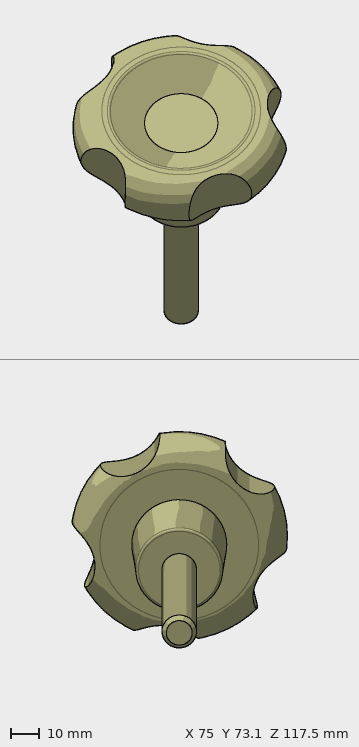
import cadquery as cq
import math

total_height = 117.5
head_height = 20.0
hub_height = 28.0
head_bottom = total_height - head_height
hub_bottom = head_bottom - hub_height

head_radius = 37.5
rim_radius = head_height / 2
flat_radius = head_radius - rim_radius

dish_radius = 25.0
floor_radius = 12.7
dish_slope = 30.0
dish_depth = (dish_radius - floor_radius) * math.tan(math.radians(dish_slope))
dish_edge_radius = 2.0

hub_top_radius = 16.5
hub_bottom_radius = 15.0
hub_edge_radius = 0.9

stem_radius = 12.0 / 2
tip_chamfer = 1.5

scallop_count = 5
scallop_radius = 15.0
scallop_inner_reach = 30.0
first_scallop_angle = -90.0


def make_head():
    head = (
        cq.Workplane("XZ")
        .moveTo(0, head_bottom)
        .lineTo(flat_radius, head_bottom)
        .threePointArc((head_radius, head_bottom + rim_radius), (flat_radius, total_height))
        .lineTo(0, total_height)
        .close()
        .revolve(360, (0, 0), (0, 1))
    )
    dished_head = head.cut(make_dish())
    dish_edge = cq.selectors.RadiusNthSelector(0)
    dished_head = dished_head.faces(">Z").edges(dish_edge).fillet(dish_edge_radius)
    return dished_head.cut(make_scallops())


def make_scallops():
    return (
        cq.Workplane("XY", origin=(0, 0, head_bottom))
        .polarArray(scallop_inner_reach + scallop_radius, first_scallop_angle, 360, scallop_count)
        .circle(scallop_radius)
        .extrude(head_height)
    )


def make_dish():
    return (
        cq.Workplane("XY", origin=(0, 0, total_height - dish_depth))
        .circle(floor_radius)
        .workplane(offset=dish_depth)
        .circle(dish_radius)
        .loft()
    )


def make_hub():
    return (
        cq.Workplane("XY", origin=(0, 0, hub_bottom))
        .circle(hub_bottom_radius)
        .workplane(offset=hub_height)
        .circle(hub_top_radius)
        .loft()
        .faces("<Z")
        .edges()
        .fillet(hub_edge_radius)
    )


def make_stem():
    return cq.Workplane("XY").circle(stem_radius).extrude(hub_bottom).faces("<Z").chamfer(tip_chamfer)


result = make_head().union(make_hub()).union(make_stem())